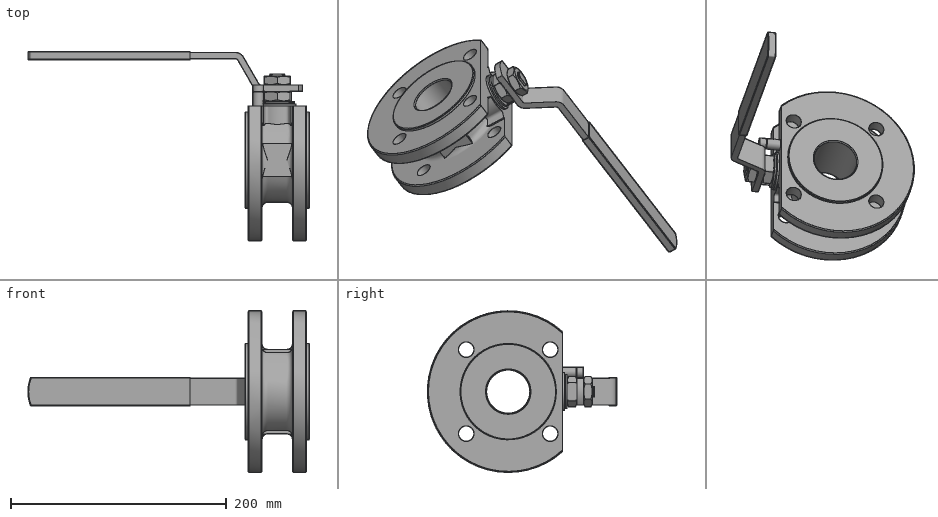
import cadquery as cq
import math


flange_radius = 75.0
flange_inner_x = 14.0
flange_outer_x = 27.1
rim_chamfer = 1.0
raised_face_x = 30.0
raised_face_radius = 44.6
raised_face_chamfer = 0.8
bore_diameter = 40.0
bore_chamfer = 1.0
neck_radius = 39.2
neck_fillet = 5.2
flat_y = 50.5
bolt_hole_diameter = 14.0
bolt_offset = 39.0

pad_length = 30.5
boss_diameter = 41.8
boss_fillet = 2.5
boss_wall_x = 12.8
boss_wall_top_z = 25.5
boss_wall_draft = math.radians(20)
boss_start_y = 22.7

lever_thickness = 6.0
lever_width = 25.0
lever_bottom_y = 63.7
lever_top_y = lever_bottom_y + lever_thickness
lever_end_radius = 23.5
handle_y = 96.8
bend_angle = math.radians(60)
bend_corner_x = -16.5
bend_inner_radius = 2.5

grip_start_x = -231.0
grip_end_x = -81.0
grip_thickness = 7.8
grip_width = 26.5
grip_end_sag = 2.5
grip_chamfer = 0.8
grip_corner_radius = 1.5

gland_diameter = 35.0
gland_top_y = 52.2
stem_collar_diameter = 21.0
washer_diameter = 31.5
washer_bottom_y = 53.0
washer_top_y = 54.5
nut_across_flats = 24.3
nut_chamfer_angle = math.radians(30)
nut_face_ratio = 0.95
nut_top_y = 78.0
tab_reach_x = 13.3
tab_width = 17.2
tab_thickness = 1.3
tab_corner_radius = 1.0
stem_diameter = 14.0
stem_top_y = 79.9
stem_chamfer = 0.8
stem_flats = 10.0

pin_diameter = 10.0
pin_x = -17.7
pin_z = 17.7
pin_groove_width = 0.8
pin_groove_depth = 0.8


def disc(diameter, y_from, y_to, x=0.0, z=0.0):
    """Cylinder along Y between two heights."""
    direction = cq.Vector(0, 1, 0)
    base = cq.Vector(x, y_from, z)
    return cq.Workplane(cq.Solid.makeCylinder(diameter / 2, y_to - y_from, base, direction))


def box_between(x_range, y_range, z_range):
    """Axis-aligned box given by its limits on each axis."""
    sizes = [high - low for low, high in (x_range, y_range, z_range)]
    corner = cq.Vector(x_range[0], y_range[0], z_range[0])
    return cq.Workplane(cq.Solid.makeBox(*sizes, corner))


def flange_rim(side):
    """One flange with its raised face and chamfered rim; side is -1 or 1."""
    plane = cq.Workplane("YZ").workplane(offset=side * flange_inner_x)
    rim = plane.circle(flange_radius).extrude(side * (flange_outer_x - flange_inner_x))
    rim = rim.edges().chamfer(rim_chamfer)
    face = plane.circle(raised_face_radius).extrude(side * (raised_face_x - flange_inner_x))
    outer_end = ">X" if side > 0 else "<X"
    return rim.union(face.faces(outer_end).chamfer(raised_face_chamfer))


def neck():
    """Waist between the flanges, flared by a fillet at both ends."""
    flare_x = flange_inner_x - neck_fillet
    flare_radius = neck_radius + neck_fillet
    profile = (
        cq.Workplane("XY")
        .moveTo(-flange_inner_x, 0)
        .lineTo(-flange_inner_x, flare_radius)
        .radiusArc((-flare_x, neck_radius), -neck_fillet)
        .lineTo(flare_x, neck_radius)
        .radiusArc((flange_inner_x, flare_radius), -neck_fillet)
        .lineTo(flange_inner_x, 0)
        .close()
    )
    return profile.revolve(360, (0, 0, 0), (1, 0, 0))


def stem_boss():
    """Round boss under the stem, held by drafted walls on the inner flange faces."""
    height = flat_y - boss_start_y
    boss_radius = boss_diameter / 2
    root_x = flange_outer_x - rim_chamfer
    inner_x = boss_wall_x - boss_wall_top_z * math.tan(boss_wall_draft)
    boss = disc(boss_diameter, boss_start_y, flat_y).intersect(
        box_between((-root_x, root_x), (boss_start_y, flat_y), (-boss_radius, boss_radius))
    )
    for side in (-1, 1):
        outline = [
            (side * root_x, -boss_wall_top_z),
            (side * boss_wall_x, -boss_wall_top_z),
            (side * inner_x, 0),
            (side * boss_wall_x, boss_wall_top_z),
            (side * root_x, boss_wall_top_z),
        ]
        wall = cq.Workplane("XZ", origin=(0, flat_y, 0)).polyline(outline).close().extrude(height)
        boss = boss.union(wall)
    corners = cq.selectors.BoxSelector(
        (-boss_wall_x, boss_start_y, -boss_radius), (boss_wall_x, flat_y, boss_radius)
    )
    return boss.edges("|Y").edges(corners).fillet(boss_fillet)


def valve_body():
    """Both flanges, neck, pads and boss, with the flat, bolt holes and bore cut."""
    body = neck().union(flange_rim(-1)).union(flange_rim(1))
    half_pad = pad_length / 2
    body = body.union(
        box_between(
            (-flange_inner_x, flange_inner_x), (-half_pad, half_pad), (-neck_radius, neck_radius)
        )
    )
    body = body.cut(
        box_between(
            (-raised_face_x, raised_face_x),
            (flat_y, flange_radius),
            (-flange_radius, flange_radius),
        )
    )
    body = body.union(stem_boss())
    plane = cq.Workplane("YZ").workplane(offset=-raised_face_x)
    bolt_spacing = 2 * bolt_offset
    bolts = plane.rect(bolt_spacing, bolt_spacing, forConstruction=True).vertices()
    body = body.cut(bolts.circle(bolt_hole_diameter / 2).extrude(2 * raised_face_x))
    body = body.cut(plane.circle(bore_diameter / 2).extrude(2 * raised_face_x))
    for side in (-1, 1):
        countersink = cq.Solid.makeCone(
            bore_diameter / 2 + bore_chamfer,
            bore_diameter / 2,
            bore_chamfer,
            cq.Vector(side * raised_face_x, 0, 0),
            cq.Vector(-side, 0, 0),
        )
        body = body.cut(cq.Workplane(countersink))
    return body


def lever():
    """Flat bar cranked from the stem out to the handle."""
    half = lever_thickness / 2
    run_bottom = handle_y - half
    run_top = handle_y + half
    slope = math.tan(bend_angle)
    slant_gap = lever_thickness / math.sin(bend_angle)

    def upper_slant_x(y):
        return bend_corner_x - (y - lever_top_y) / slope

    def lower_slant_x(y):
        return upper_slant_x(y) - slant_gap

    low_inner = (bend_corner_x, lever_top_y)
    low_outer = (lower_slant_x(lever_bottom_y), lever_bottom_y)
    high_inner = (lower_slant_x(run_bottom), run_bottom)
    high_outer = (upper_slant_x(run_top), run_top)
    bar_start_x = (grip_start_x + grip_end_x) / 2
    outline = [
        (bar_start_x, run_bottom),
        high_inner,
        low_outer,
        (lever_end_radius, lever_bottom_y),
        (lever_end_radius, lever_top_y),
        low_inner,
        high_outer,
        (bar_start_x, run_top),
    ]
    bar = cq.Workplane("XY").polyline(outline).close().extrude(lever_width / 2, both=True)
    bend_outer_radius = bend_inner_radius + lever_thickness
    bends = [
        (low_inner, bend_inner_radius),
        (high_inner, bend_inner_radius),
        (low_outer, bend_outer_radius),
        (high_outer, bend_outer_radius),
    ]
    for (x, y), radius in bends:
        bar = bar.edges(cq.selectors.NearestToPointSelector((x, y, 0))).fillet(radius)

    tip = box_between(
        (0, lever_end_radius), (lever_bottom_y, lever_top_y), (-lever_width / 2, lever_width / 2)
    )
    rounding = tip.cut(disc(2 * lever_end_radius, lever_bottom_y, lever_top_y))
    return bar.cut(rounding)


def grip():
    """Sleeve over the handle with a bowed end and chamfered edges."""
    half_width = grip_width / 2
    bowed = (
        cq.Workplane("XZ", origin=(0, handle_y, 0))
        .moveTo(grip_end_x, -half_width)
        .lineTo(grip_start_x + grip_end_sag, -half_width)
        .threePointArc((grip_start_x, 0), (grip_start_x + grip_end_sag, half_width))
        .lineTo(grip_end_x, half_width)
        .close()
        .extrude(grip_thickness / 2, both=True)
    )
    bowed = bowed.edges("|Y").edges("<X").fillet(grip_corner_radius)
    return bowed.faces("<Y or >Y").edges("not >X").chamfer(grip_chamfer)


def hex_nut(y_from, y_to):
    """Hexagon nut with corners toward +Z and -Z, rounded off at both ends."""
    corner_radius = nut_across_flats / math.sqrt(3)
    corner_angles = [i * math.pi / 3 for i in range(6)]
    points = [(corner_radius * math.sin(a), corner_radius * math.cos(a)) for a in corner_angles]
    prism = cq.Workplane("XZ", origin=(0, y_to, 0)).polyline(points).close().extrude(y_to - y_from)
    face_radius = nut_face_ratio * nut_across_flats / 2
    bevel = (corner_radius - face_radius) * math.tan(nut_chamfer_angle)
    envelope = (
        cq.Workplane("XY")
        .moveTo(0, y_from)
        .lineTo(face_radius, y_from)
        .lineTo(corner_radius, y_from + bevel)
        .lineTo(corner_radius, y_to - bevel)
        .lineTo(face_radius, y_to)
        .lineTo(0, y_to)
        .close()
        .revolve(360, (0, 0, 0), (0, 1, 0))
    )
    return prism.intersect(envelope)


def stem_stack():
    """Gland, washer with tabs, two nuts and the flatted stem tip."""
    stack = disc(gland_diameter, flat_y, gland_top_y)
    stack = stack.union(disc(stem_collar_diameter, gland_top_y, washer_bottom_y))
    stack = stack.union(disc(washer_diameter, washer_bottom_y, washer_top_y))
    stack = stack.union(hex_nut(washer_top_y, lever_bottom_y))
    for side in (-1, 1):
        tab_faces = sorted((side * tab_reach_x, side * (tab_reach_x - tab_thickness)))
        tab = box_between(tab_faces, (washer_top_y, lever_bottom_y), (-tab_width / 2, tab_width / 2))
        outer_face = ">X" if side > 0 else "<X"
        stack = stack.union(tab.faces(outer_face).edges().fillet(tab_corner_radius))
    stack = stack.union(hex_nut(lever_top_y, nut_top_y))
    stem = disc(stem_diameter, flat_y, stem_top_y).faces(">Y").chamfer(stem_chamfer)
    half_stem = stem_diameter / 2
    for z_range in ((-half_stem, -stem_flats / 2), (stem_flats / 2, half_stem)):
        stem = stem.cut(box_between((-half_stem, half_stem), (nut_top_y, stem_top_y), z_range))
    return stack.union(stem)


def stop_pin():
    """Pin standing on the flat, with a shallow groove just under the lever."""
    groove_y = lever_bottom_y - pin_groove_width
    core_diameter = pin_diameter - 2 * pin_groove_depth
    pin = disc(pin_diameter, flat_y, groove_y, pin_x, pin_z)
    pin = pin.union(disc(core_diameter, groove_y, lever_bottom_y, pin_x, pin_z))
    return pin.union(disc(pin_diameter, lever_bottom_y, lever_top_y, pin_x, pin_z))


result = valve_body().union(stem_stack()).union(stop_pin()).union(lever()).union(grip())